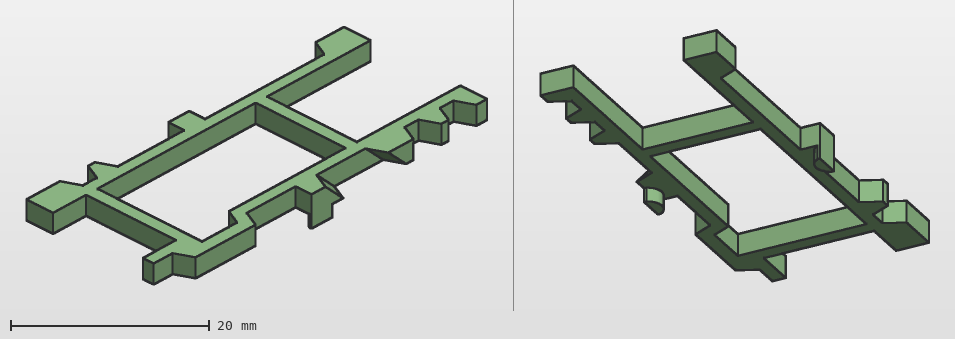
import cadquery as cq

width = 20.0
length = 46.1
body_height = 2.5
pin_height = 1.55

tooth_depth = 2.2
rail_width = 1.5
flank_run = 1.0
left_rail_inner = tooth_depth + rail_width
right_rail_inner = width - left_rail_inner

rib_width = 1.65
front_rib_y = 4.8
rear_rib_y = 29.4

recess_wall = 1.65
recess_end_y = 11.52

pin_start_y = 20.6
pin_length = 3.05
pin_end_y = pin_start_y + pin_length
pin_end_width = 0.28
pin_mid_width = 1.25

ramp_run = 2.6
undercut_tooth_y = 31.75

left_teeth = [
    (0, 4.9, False, True),
    (8.95, 9.95, True, True),
    (pin_start_y, pin_end_y, False, False),
    (41.95, length, True, False),
]
right_teeth = [
    (3.8, 12.5, True, True),
    (pin_start_y, pin_end_y - flank_run, False, True),
    (undercut_tooth_y, 35.4, True, True),
    (39.45, 40.5, True, True),
    (44.55, length, True, False),
]


def block(x_start, x_end, y_start, y_end):
    """Body-height block between the given X and Y limits."""
    return cq.Workplane("XY").box(
        x_end - x_start, y_end - y_start, body_height, centered=False
    ).translate((x_start, y_start, 0))


def tooth(outer_x, root_x, start, end, start_slopes, end_slopes):
    """Tooth reaching from the rail to an outer side; sloping flanks widen it at the root."""
    root_start = start - flank_run if start_slopes else start
    root_end = end + flank_run if end_slopes else end
    points = [(outer_x, start), (outer_x, end), (root_x, root_end), (root_x, root_start)]
    return cq.Workplane("XY").polyline(points).close().extrude(body_height)


def left_pin():
    """Pin flat on the outer side and bulging as an arc on the inner side."""
    return (
        cq.Workplane("XY")
        .moveTo(0, pin_start_y)
        .lineTo(pin_end_width, pin_start_y)
        .threePointArc(
            (pin_mid_width, pin_start_y + pin_length / 2),
            (pin_end_width, pin_end_y),
        )
        .lineTo(0, pin_end_y)
        .close()
        .extrude(-pin_height)
    )


def wedge(start_y, flank_direction):
    """Triangular prism across the right teeth, falling from start_y at the top to the rear.

    It is sheared along Y to follow a flank: direction 1 runs to the rear, -1 to the front.
    """
    root_x = width - tooth_depth
    shear = cq.Vector(tooth_depth, flank_direction * flank_run, 0)
    corners = [
        cq.Vector(root_x, start_y, 0),
        cq.Vector(root_x, start_y + ramp_run, 0),
        cq.Vector(root_x, start_y, body_height),
    ]
    profile = cq.Wire.makePolygon(corners, close=True)
    return cq.Workplane("XY").add(cq.Solid.extrudeLinear(profile, [], shear))


frame = block(tooth_depth, left_rail_inner, 0, length)
frame = frame.union(block(right_rail_inner, width - tooth_depth, 0, length))
for rib_y in (front_rib_y, rear_rib_y):
    frame = frame.union(block(left_rail_inner, right_rail_inner, rib_y, rib_y + rib_width))

for tooth_shape in left_teeth:
    frame = frame.union(tooth(0, tooth_depth, *tooth_shape))
for tooth_shape in right_teeth:
    frame = frame.union(tooth(width, width - tooth_depth, *tooth_shape))

frame = frame.union(wedge(pin_end_y, -1))
frame = frame.cut(wedge(undercut_tooth_y - flank_run, 1))

recess_depth = width - recess_wall - right_rail_inner
recess_slope_run = recess_depth * flank_run / tooth_depth
recess_floor_y = front_rib_y + rib_width
recess = (
    cq.Workplane("XY")
    .polyline([
        (right_rail_inner, recess_floor_y),
        (width - recess_wall, recess_floor_y),
        (width - recess_wall, recess_end_y),
        (right_rail_inner, recess_end_y + recess_slope_run),
    ])
    .close()
    .extrude(body_height)
)
frame = frame.cut(recess)

pin = left_pin()
result = frame.union(pin).union(pin.mirror("YZ").translate((width, 0, 0)))